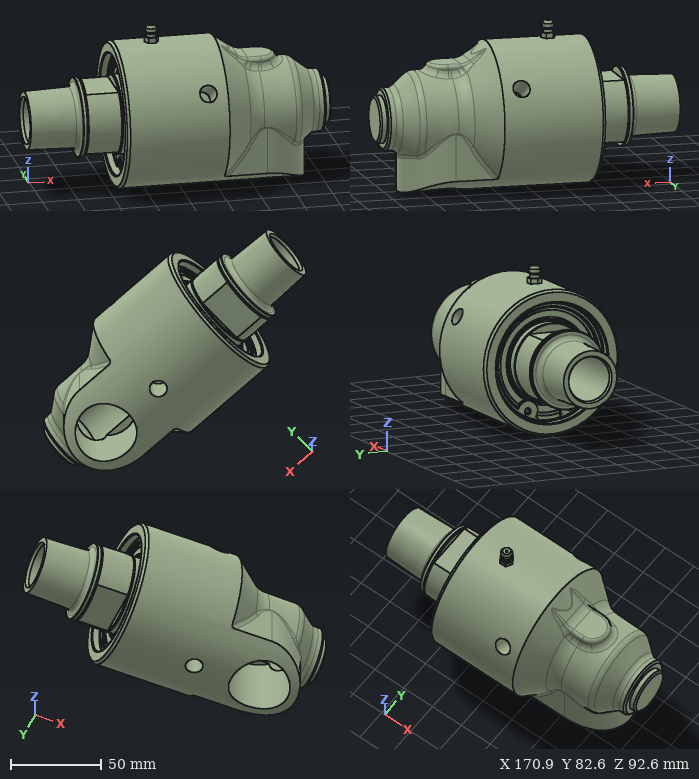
import cadquery as cq
import math


shaft_radius = 44.65 / 2
bore_radius = 25 / 2
bore_chamfer_width = 0.75
bore_chamfer_length = 1.8
bore_end_x = 155.0
spigot_face_radius = 16.35
spigot_taper = 1 / 32
spigot_length = 25.3
collar_start_x = 28.3
collar_chamfer = 0.3
collar_step_radius = 40 / 2
flat_start_x = 31.5
flat_end_x = 50.0
flat_distance = 34.9
line_groove_width = 0.9
line_groove_starts_x = (30.5, 50.0)
line_groove_depth = 0.15
spigot_end_radius = spigot_face_radius + spigot_taper * spigot_length

body_start_x = 49.2
body_radius = 82.6 / 2
body_chamfer_radial = 1.3
body_chamfer_axial = 1.6
cone_start_x = 107.1
cone_angle = math.radians(39)
neck_blend_radius = 13.4
neck_radius = 26.8
neck_end_x = 148.0
neck_end_radius = 26.5
end_blend_radius = 5.6
cap_radius = 17.6
cap_start_x = 163.0
cap_end_x = 167.0
cap_chamfer = 1.1
plug_radius = 13.3
plug_end_x = 170.9
plug_chamfer = 1.0
neck_blend_drop = neck_blend_radius * (1 - math.cos(cone_angle))
end_blend_drop = end_blend_radius * (1 - math.cos(cone_angle))
end_blend_length = end_blend_radius * math.sin(cone_angle)
cone_end_radius = neck_radius + neck_blend_drop
cone_end_x = cone_start_x + (body_radius - cone_end_radius) / math.tan(cone_angle)
flare_radius = 60.0
flare_x = cone_start_x - (flare_radius - body_radius) / math.tan(cone_angle)
neck_start_x = cone_end_x + neck_blend_radius * math.sin(cone_angle)

recess_radius = 68.1 / 2
recess_mouth_radius = 34.7
recess_mouth_depth = 0.6
ring_face_x = 53.2
ring_thickness = 1.0
ring_inner_radius = 31.4
ring_seat_depth = 0.5
ring_gap_half_width = 7.0
lug_radius = 6.1
lug_thickness = 2.5
lug_hole_diameter = 3.72
lug_offset_y = 12.95
lug_offset_z = -26.9
recess_floor_x = ring_face_x + ring_thickness
rim_chamfer_radius = 33.4
rim_chamfer = 0.5
cover_groove_outer_radius = 61.1 / 2
cover_step_radius = 57.91 / 2
cover_step_depth = 0.8
cover_groove_depth = 0.5
seal_outer_radius = 49.77 / 2
seal_depth = 0.3
lip_radii = (23.9, 23.3)
lip_depth = 0.15
seal_floor_x = recess_floor_x + cover_groove_depth + cover_step_depth + seal_depth
shaft_end_x = seal_floor_x + lip_depth * len(lip_radii)

boss_x = 131.4
bulge_radius = 26.3
bulge_fillet = 3.0
port_x = 135.4
port_radius = 17.0

pad_top_z = 30.8
pad_radius = 10.1
pad_edge_fillet = 2.2
pad_base_fillet = 4.6
pad_ramp_radius = 9.9
ramp_foot_x = 124.0
ramp_angle = math.radians(34)

touch_tolerance = 1e-4

drain_x = 96.1
drain_diameter = 9.6
drain_depth = 20.0
drain_angles = (30, 150, 270)

nipple_x = 71.5
nipple_top_z = 51.29
hex_across_flats = 7.0
hex_top_z = 44.2
nipple_root_z = 38.0
nipple_neck_radius = 2.8
nipple_head_radius = 3.3
nipple_tip_radius = 2.3
nipple_neck_top_z = 46.2
nipple_head_bottom_z = 47.2
nipple_head_top_z = 49.4
nipple_hole_diameter = 1.2
nipple_hole_depth = 2.0


def revolve_about_x(outline):
    return outline.close().revolve(360, (0, 0, 0), (1, 0, 0))


def tube(start_x, end_x, outer_radius, inner_radius=0):
    ring = cq.Workplane("YZ", origin=(start_x, 0, 0)).circle(outer_radius)
    if inner_radius:
        ring = ring.circle(inner_radius)
    return ring.extrude(end_x - start_x)


def meeting_edges(joined, first, second):
    """Edges of the joined solid that lie on the faces of both solids it was made from."""
    def touches(edge, solid):
        for position in (0.3, 0.6):
            probe = cq.Vertex.makeVertex(*edge.positionAt(position).toTuple())
            if min(face.distance(probe) for face in solid.faces().vals()) > touch_tolerance:
                return False
        return True

    found = [edge for edge in joined.edges().vals() if touches(edge, first) and touches(edge, second)]
    return joined.newObject(found)


def slot_column(start_x, radius, bottom_z, top_z):
    """Upright column with straight sides along X and a half-round end at the boss."""
    height = top_z - bottom_z
    column = cq.Workplane("XY", origin=(boss_x, 0, bottom_z)).circle(radius).extrude(height)
    straight = (
        cq.Workplane("XY")
        .box(boss_x - start_x, 2 * radius, height, centered=(False, True, False))
        .translate((start_x, 0, bottom_z))
    )
    return column.union(straight)


def make_body():
    outline = (
        cq.Workplane("XY")
        .moveTo(body_start_x, 0)
        .lineTo(body_start_x, body_radius - body_chamfer_radial)
        .lineTo(body_start_x + body_chamfer_axial, body_radius)
        .lineTo(cone_start_x, body_radius)
        .lineTo(cone_start_x, 0)
    )
    return revolve_about_x(outline)


def make_neck():
    outline = (
        cq.Workplane("XY")
        .moveTo(flare_x, 0)
        .lineTo(flare_x, flare_radius)
        .lineTo(cone_end_x, cone_end_radius)
        .tangentArcPoint((neck_start_x, neck_radius), relative=False)
        .lineTo(neck_end_x, neck_end_radius)
        .tangentArcPoint((neck_end_x + end_blend_length, neck_end_radius - end_blend_drop), relative=False)
        .lineTo(cap_start_x - end_blend_length, cap_radius + end_blend_drop)
        .tangentArcPoint((cap_start_x, cap_radius), relative=False)
        .lineTo(cap_end_x - cap_chamfer, cap_radius)
        .lineTo(cap_end_x, cap_radius - cap_chamfer)
        .lineTo(cap_end_x, plug_radius)
        .lineTo(plug_end_x - plug_chamfer, plug_radius)
        .lineTo(plug_end_x, plug_radius - plug_chamfer)
        .lineTo(plug_end_x, 0)
    )
    return revolve_about_x(outline)


def add_bulge(neck):
    bulge = slot_column(flare_x, bulge_radius, -flare_radius, 0)
    return meeting_edges(neck.union(bulge), neck, bulge).fillet(bulge_fillet)


def make_pad():
    ramp_end_x = ramp_foot_x - pad_ramp_radius * math.sin(ramp_angle)
    ramp_end_z = pad_top_z + pad_ramp_radius * (1 - math.cos(ramp_angle))
    ramp_root_z = ramp_end_z + (ramp_end_x - cone_start_x) * math.tan(ramp_angle)
    tip_x = boss_x + pad_radius
    side = (
        cq.Workplane("XZ")
        .moveTo(cone_start_x, 0)
        .lineTo(cone_start_x, ramp_root_z)
        .lineTo(ramp_end_x, ramp_end_z)
        .tangentArcPoint((ramp_foot_x, pad_top_z), relative=False)
        .lineTo(tip_x, pad_top_z)
        .lineTo(tip_x, 0)
        .close()
        .extrude(pad_radius, both=True)
    )
    pad = side.intersect(slot_column(cone_start_x, pad_radius, 0, ramp_root_z))
    top_edges = cq.selectors.BoxSelector(
        (cone_start_x, -body_radius, pad_top_z - pad_edge_fillet),
        (plug_end_x, body_radius, ramp_root_z - pad_edge_fillet),
    )
    return pad.edges(top_edges).edges("not |Y").fillet(pad_edge_fillet)


def add_pad(neck):
    pad = make_pad()
    return meeting_edges(neck.union(pad), neck, pad).fillet(pad_base_fillet)


def make_housing():
    neck = add_pad(add_bulge(make_neck()))
    envelope = tube(cone_start_x, plug_end_x, body_radius)
    return make_body().union(neck.intersect(envelope))


def make_recess():
    mouth_end_x = body_start_x + recess_mouth_depth
    outline = (
        cq.Workplane("XY")
        .moveTo(body_start_x, 0)
        .lineTo(body_start_x, recess_mouth_radius)
        .lineTo(mouth_end_x, recess_radius)
        .lineTo(recess_floor_x + rim_chamfer, recess_radius)
        .lineTo(recess_floor_x + rim_chamfer, rim_chamfer_radius)
        .lineTo(recess_floor_x, rim_chamfer_radius - rim_chamfer)
        .lineTo(recess_floor_x, 0)
    )
    recess = revolve_about_x(outline)
    groove_end_x = recess_floor_x + cover_groove_depth
    recess = recess.union(tube(recess_floor_x, groove_end_x, cover_groove_outer_radius))
    step_end_x = groove_end_x + cover_step_depth
    recess = recess.union(tube(groove_end_x, step_end_x, cover_step_radius))
    recess = recess.union(tube(step_end_x, seal_floor_x, seal_outer_radius))
    lip_start_x = seal_floor_x
    for lip_radius in lip_radii:
        recess = recess.union(tube(lip_start_x, lip_start_x + lip_depth, lip_radius))
        lip_start_x += lip_depth
    return recess


def make_retaining_ring():
    ring_back_x = recess_floor_x + rim_chamfer
    band = revolve_about_x(
        cq.Workplane("XY")
        .moveTo(ring_face_x, ring_inner_radius)
        .lineTo(ring_face_x, rim_chamfer_radius - rim_chamfer)
        .lineTo(ring_face_x + rim_chamfer, rim_chamfer_radius)
        .lineTo(ring_face_x + rim_chamfer, recess_radius + ring_seat_depth)
        .lineTo(ring_back_x, recess_radius + ring_seat_depth)
        .lineTo(ring_back_x, rim_chamfer_radius)
        .lineTo(recess_floor_x, rim_chamfer_radius - rim_chamfer)
        .lineTo(recess_floor_x, ring_inner_radius)
    )
    lug_centers = [(-lug_offset_y, lug_offset_z), (lug_offset_y, lug_offset_z)]
    lugs = (
        cq.Workplane("YZ", origin=(ring_face_x, 0, 0))
        .pushPoints(lug_centers)
        .circle(lug_radius)
        .extrude(lug_thickness)
        .intersect(tube(ring_face_x, ring_face_x + lug_thickness, rim_chamfer_radius - rim_chamfer))
    )
    gap = cq.Workplane("XY").box(
        lug_thickness, 2 * ring_gap_half_width, body_radius, centered=(False, True, False)
    ).translate((ring_face_x, 0, -body_radius))
    holes = (
        cq.Workplane("YZ", origin=(ring_face_x, 0, 0))
        .pushPoints(lug_centers)
        .circle(lug_hole_diameter / 2)
        .extrude(lug_thickness)
    )
    return band.union(lugs).cut(gap).cut(holes)


def make_shaft():
    outline = (
        cq.Workplane("XY")
        .lineTo(0, spigot_face_radius)
        .lineTo(spigot_length, spigot_end_radius)
        .radiusArc((collar_start_x, collar_step_radius), -(collar_start_x - spigot_length))
        .lineTo(collar_start_x, shaft_radius - collar_chamfer)
        .lineTo(collar_start_x + collar_chamfer, shaft_radius)
        .lineTo(shaft_end_x, shaft_radius)
        .lineTo(shaft_end_x, 0)
    )
    shaft = revolve_about_x(outline)
    for start_x in line_groove_starts_x:
        end_x = start_x + line_groove_width
        shaft = shaft.cut(tube(start_x, end_x, shaft_radius, shaft_radius - line_groove_depth))
    flat_cut = cq.Workplane("XY").box(
        flat_end_x - flat_start_x, 2 * shaft_radius, shaft_radius, centered=(False, True, False)
    ).translate((flat_start_x, 0, flat_distance / 2))
    return shaft.cut(flat_cut).cut(flat_cut.mirror("XY"))


def make_bore():
    outline = (
        cq.Workplane("XY")
        .lineTo(0, bore_radius + bore_chamfer_width)
        .lineTo(bore_chamfer_length, bore_radius)
        .lineTo(bore_end_x, bore_radius)
        .lineTo(bore_end_x, 0)
    )
    return revolve_about_x(outline)


def make_port():
    return (
        cq.Workplane("XY", origin=(port_x, 0, -body_radius))
        .circle(port_radius)
        .extrude(body_radius)
    )


def make_drain(angle):
    return (
        cq.Workplane("XZ", origin=(drain_x, body_radius, 0))
        .circle(drain_diameter / 2)
        .extrude(drain_depth)
        .rotate((0, 0, 0), (1, 0, 0), angle)
    )


def make_nipple():
    across_corners = hex_across_flats / math.cos(math.radians(30))
    nut = (
        cq.Workplane("XY", origin=(0, 0, nipple_root_z))
        .polygon(6, across_corners)
        .extrude(hex_top_z - nipple_root_z)
    )
    stem = (
        cq.Workplane("XZ")
        .moveTo(0, nipple_root_z)
        .lineTo(nipple_neck_radius, nipple_root_z)
        .lineTo(nipple_neck_radius, nipple_neck_top_z)
        .lineTo(nipple_head_radius, nipple_head_bottom_z)
        .lineTo(nipple_head_radius, nipple_head_top_z)
        .lineTo(nipple_tip_radius, nipple_top_z)
        .lineTo(0, nipple_top_z)
        .close()
        .revolve(360, (0, 0, 0), (0, 1, 0))
    )
    hole = (
        cq.Workplane("XY", origin=(0, 0, nipple_top_z - nipple_hole_depth))
        .circle(nipple_hole_diameter / 2)
        .extrude(nipple_hole_depth)
    )
    return nut.union(stem).cut(hole).translate((nipple_x, 0, 0))


housing = make_housing()
housing = housing.cut(make_recess())
for drain_angle in drain_angles:
    housing = housing.cut(make_drain(drain_angle))

result = (
    housing.union(make_retaining_ring())
    .union(make_shaft())
    .union(make_nipple())
    .cut(make_bore())
    .cut(make_port())
)